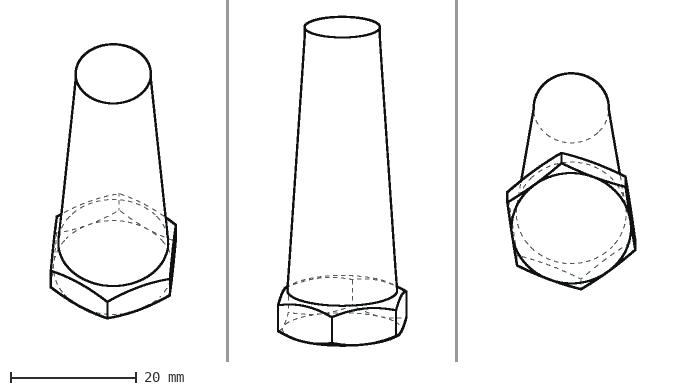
import cadquery as cq
import math

total_height = 50.0
across_flats = 19.0
head_height = 6.4
tip_radius = 6.0
tip_height = 1.7
taper_base_radius = 8.75
head_bottom_radius = 9.5
chamfer_angle = 30.0

corner_radius = across_flats / 2 / math.cos(math.radians(30))


def chamfer_drop(face_radius):
    """Height of the conical chamfer where it meets the hexagon corners."""
    return (corner_radius - face_radius) * math.tan(math.radians(chamfer_angle))


def make_head():
    """Hexagonal head with flats facing X, trimmed by a cone at each end."""
    hexagon = (
        cq.Workplane("XY")
        .polygon(6, 2 * corner_radius)
        .extrude(head_height)
        .rotate((0, 0, 0), (0, 0, 1), 30)
    )
    chamfer_envelope = (
        cq.Workplane("XZ")
        .moveTo(0, 0)
        .lineTo(head_bottom_radius, 0)
        .lineTo(corner_radius, chamfer_drop(head_bottom_radius))
        .lineTo(corner_radius, head_height - chamfer_drop(taper_base_radius))
        .lineTo(taper_base_radius, head_height)
        .lineTo(0, head_height)
        .close()
        .revolve(360, (0, 0, 0), (0, 1, 0))
    )
    return hexagon.intersect(chamfer_envelope)


def make_plug():
    """Tapered plug ending in a short cylindrical tip."""
    return (
        cq.Workplane("XZ")
        .moveTo(0, head_height)
        .lineTo(taper_base_radius, head_height)
        .lineTo(tip_radius, total_height - tip_height)
        .lineTo(tip_radius, total_height)
        .lineTo(0, total_height)
        .close()
        .revolve(360, (0, 0, 0), (0, 1, 0))
    )


result = make_head().union(make_plug())